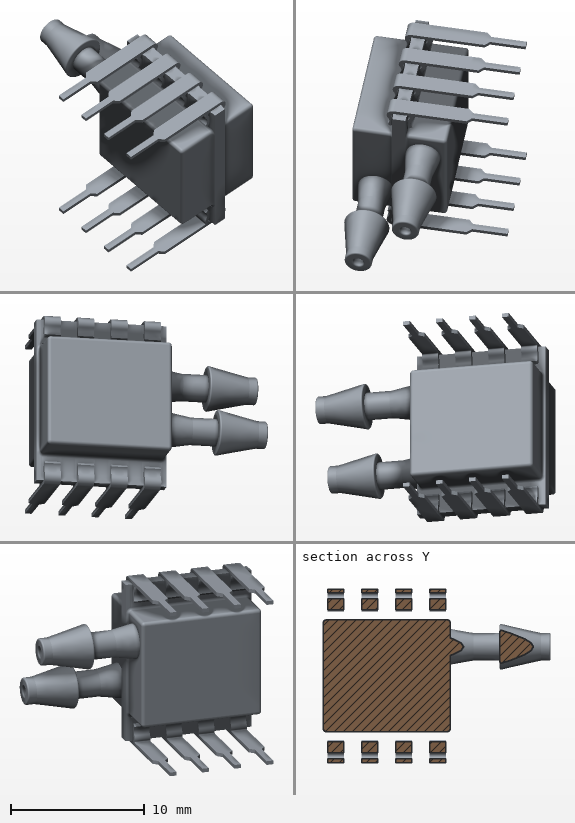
import cadquery as cq
import math


TOTAL_LENGTH = 17.2
TOTAL_DEPTH = 11.7

PLATE_WIDTH = 9.92
PLATE_THICKNESS = 1.0
PLATE_HEIGHT = 12.42
PAD_WIDTH = 1.51
PAD_THICKNESS = 0.03

BODY_WIDTH = 9.5
BODY_DEPTH = 7.2
BODY_HEIGHT = 8.36
BODY_ROUND = 0.25
FLARE_RADIUS = 0.2

TUBE_LENGTH = TOTAL_LENGTH - (PLATE_WIDTH + BODY_WIDTH) / 2
TUBE_RADIUS = 1.03
TIP_LENGTH = 0.7
BARB_LENGTH = 3.8
BARB_RADIUS = 1.74
BARB_ROUND = 0.1
NECK_END = 5.75
ROOT_RADIUS = 1.35
TIP_ROUND = 0.12
BORE_RADIUS = 0.4
TUBE_Y = 1.79
TUBE_Z = 2.17

PIN_COUNT = 4
PIN_PITCH = 2.55
PIN_WIDTH = 1.24
PIN_THICKNESS = 0.3
PIN_END_Y = TOTAL_DEPTH - BODY_DEPTH / 2
TIP_WIDTH = 0.52
TAPER_START_Y = 5.04
HOOK_RADIUS = 0.22
SPRING_RADIUS = 0.86
SPRING_END_ANGLE = 41.0
PIN_BITE = 0.02
LUG_FILLET = 0.07

half_plate = PLATE_THICKNESS / 2
plate_top = PLATE_HEIGHT / 2
tip_x = -BODY_WIDTH / 2 - TUBE_LENGTH
pin_xs = [(i - (PIN_COUNT - 1) / 2) * PIN_PITCH for i in range(PIN_COUNT)]


def make_housing():
    """Rounded box with the plate through its middle and a flare at the joint."""
    box = cq.Workplane("XY").box(BODY_WIDTH, BODY_DEPTH, BODY_HEIGHT).edges().fillet(BODY_ROUND)
    plate = cq.Workplane("XY").box(PLATE_WIDTH, PLATE_THICKNESS, PLATE_HEIGHT)
    housing = box.union(plate)
    reach = FLARE_RADIUS / 2
    for side in (-1, 1):
        joint = cq.selectors.BoxSelector(
            (-BODY_WIDTH / 2 - reach, side * half_plate - reach, -BODY_HEIGHT / 2 - reach),
            (BODY_WIDTH / 2 + reach, side * half_plate + reach, BODY_HEIGHT / 2 + reach),
            boundingbox=True,
        )
        housing = housing.edges(joint).fillet(FLARE_RADIUS)
    return housing


def make_pads(x):
    """Thin pads on both faces of the plate, from its top edge to the housing."""
    pad_bottom = BODY_HEIGHT / 2 + FLARE_RADIUS
    pad_height = plate_top - pad_bottom
    thickness = PLATE_THICKNESS + 2 * PAD_THICKNESS
    return cq.Workplane("XY").box(PAD_WIDTH, thickness, pad_height).translate(
        (x, 0, pad_bottom + pad_height / 2)
    )


def make_tube():
    """Barbed tube along +X with its open tip at the origin."""
    outline = [
        (0, 0),
        (0, TUBE_RADIUS),
        (TIP_LENGTH, TUBE_RADIUS),
        (BARB_LENGTH, BARB_RADIUS),
        (BARB_LENGTH, TUBE_RADIUS),
        (NECK_END, TUBE_RADIUS),
        (TUBE_LENGTH, ROOT_RADIUS),
        (TUBE_LENGTH, 0),
    ]
    tube = cq.Workplane("XY").polyline(outline).close().revolve(360, (0, 0, 0), (1, 0, 0))
    barb_edge = cq.selectors.RadiusNthSelector(-1)
    tube = tube.edges(barb_edge).fillet(BARB_ROUND)
    bore = cq.Workplane("YZ").circle(BORE_RADIUS).extrude(TUBE_LENGTH)
    return tube.cut(bore).faces("<X").edges().fillet(TIP_ROUND)


def make_clip_leg():
    """S-shaped leg on the +Y side: a hook over the plate edge, then a spring bulge."""
    hook_outer = HOOK_RADIUS + PIN_THICKNESS
    spring_inner = SPRING_RADIUS - PIN_THICKNESS
    hook_y = half_plate
    hook_z = plate_top - HOOK_RADIUS
    spring_y = half_plate + PAD_THICKNESS - PIN_BITE + SPRING_RADIUS
    centre_distance = hook_outer + spring_inner
    joint_angle = -math.acos((spring_y - hook_y) / centre_distance)
    spring_z = hook_z + centre_distance * math.sin(joint_angle)

    def on_hook(radius, angle):
        return (hook_y + radius * math.cos(angle), hook_z + radius * math.sin(angle))

    def on_spring(radius, angle):
        return (spring_y - radius * math.cos(angle), spring_z - radius * math.sin(angle))

    top = math.pi / 2
    end = math.radians(SPRING_END_ANGLE)
    hook_middle = (top + joint_angle) / 2
    spring_middle = (joint_angle + end) / 2
    return (
        cq.Workplane("YZ")
        .moveTo(*on_hook(hook_outer, top))
        .threePointArc(on_hook(hook_outer, hook_middle), on_hook(hook_outer, joint_angle))
        .threePointArc(on_spring(spring_inner, spring_middle), on_spring(spring_inner, end))
        .lineTo(*on_spring(SPRING_RADIUS, end))
        .threePointArc(on_spring(SPRING_RADIUS, spring_middle), on_spring(SPRING_RADIUS, joint_angle))
        .threePointArc(on_hook(HOOK_RADIUS, hook_middle), on_hook(HOOK_RADIUS, top))
        .close()
        .extrude(PIN_WIDTH / 2, both=True)
    )


def make_pin():
    """Flat blade towards -Y that narrows to a tip, with a clip leg on each plate face."""
    half_width = PIN_WIDTH / 2
    half_tip = TIP_WIDTH / 2
    taper_end_y = TAPER_START_Y + half_width - half_tip
    blade = (
        cq.Workplane("XY", origin=(0, 0, plate_top))
        .moveTo(0, half_plate)
        .lineTo(half_width, half_plate)
        .lineTo(half_width, -TAPER_START_Y)
        .lineTo(half_tip, -taper_end_y)
        .lineTo(half_tip, -PIN_END_Y)
        .lineTo(0, -PIN_END_Y)
        .mirrorY()
        .extrude(PIN_THICKNESS)
    )
    leg = make_clip_leg()
    pin = blade.union(leg).union(leg.mirror("XZ"))
    hook_outer = HOOK_RADIUS + PIN_THICKNESS
    lug_y = -half_plate - math.sqrt(hook_outer**2 - HOOK_RADIUS**2)
    lug_corner = cq.selectors.NearestToPointSelector((0, lug_y, plate_top))
    return pin.edges("|X").edges(lug_corner).fillet(LUG_FILLET)


tube = make_tube()
pin = make_pin()

top_row = make_pads(pin_xs[0]).union(pin.translate((pin_xs[0], 0, 0)))
for x in pin_xs[1:]:
    top_row = top_row.union(make_pads(x)).union(pin.translate((x, 0, 0)))

result = make_housing().union(top_row).union(top_row.mirror("XY"))
for side in (-1, 1):
    result = result.union(tube.translate((tip_x, side * TUBE_Y, -side * TUBE_Z)))